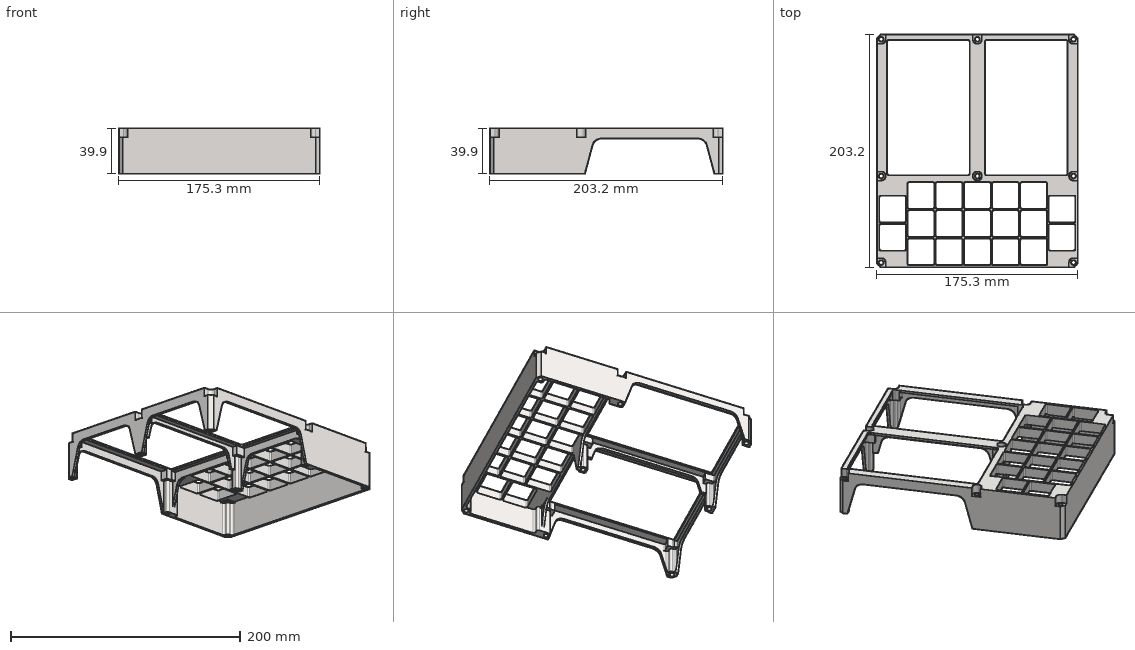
import cadquery as cq
import math

LENGTH_X = 175.26
LENGTH_Y = 203.2
HEIGHT = 39.87
CORNER_CHAMFER = 3.5

WALL = 2.3
PLATE = 2.0
GRID_DEPTH = 9.25
HALF_X = LENGTH_X / 2
HALF_Y = LENGTH_Y / 2
INNER_X = HALF_X - WALL
INNER_Y = HALF_Y - WALL
GRID_BOTTOM = HEIGHT - GRID_DEPTH

SCREW_INSET_X = 3.75
SCREW_INSET_Y = 4.25
SCREW_X = HALF_X - SCREW_INSET_X
SCREW_Y = HALF_Y - SCREW_INSET_Y
MID_SCREW_Y = -21.9
SCREW_HOLE_DIA = 4.0
COUNTERBORE_DIA = 7.9
COUNTERBORE_DEPTH = 7.9
BOSS_HALF_SIZE = 6.25
BOSS_FLARE_RADIUS = 1.0
BOSS_BOTTOM = HEIGHT - COUNTERBORE_DEPTH - WALL
POST_HALF_SIZE = 3.4
POST_CORNER_RADIUS = 2.0
POST_FLARE_RADIUS = 2.0
SIDE_POST_FRONT_Y = -31.7

KEY_SIZE = 23.1
KEY_PITCH = 24.6
KEY_RADIUS = 1.2
KEY_COLUMNS = 5
KEY_ROWS = 3
SIDE_KEY_ROWS = 2
KEY_CENTER_Y = -63.45
SIDE_KEY_CENTER_Y = -63.0
SIDE_KEY_X = (KEY_COLUMNS + 1) / 2 * KEY_PITCH

WINDOW_INNER_X = 6.75
WINDOW_OUTER_X = 78.6
WINDOW_FRONT_Y = -21.1
WINDOW_BACK_Y = 96.7
WINDOW_RADIUS = 1.5

LEG_ANGLE = 15
LEG_SLOPE = math.tan(math.radians(LEG_ANGLE))
LEG_FOOT_WIDTH = 7.4
OPENING_RADIUS = 8.0
SIDE_OPENING_FRONT_Y = -18.6
SIDE_OPENING_BACK_Y = HALF_Y - LEG_FOOT_WIDTH
BACK_OPENING_INNER_X = 3.9
BACK_OPENING_OUTER_X = HALF_X - LEG_FOOT_WIDTH
CROSS_OPENING_WIDENING = 2.1
RIB_BOTTOM = 17.5
RIB_DEPTH = 5.5
RIB_OPENING_TOP = HEIGHT - RIB_DEPTH

CROSS_WALL_FRONT_Y = KEY_CENTER_Y + (KEY_ROWS - 1) / 2 * KEY_PITCH + KEY_SIZE / 2
CROSS_WALL_BACK_Y = CROSS_WALL_FRONT_Y + WALL

SCREW_POINTS = [(x, y) for x in (-SCREW_X, SCREW_X) for y in (-SCREW_Y, MID_SCREW_Y, SCREW_Y)]
SCREW_POINTS += [(0, MID_SCREW_Y), (0, SCREW_Y)]


def box(x0, x1, y0, y1, z0, z1):
    return cq.Workplane("XY").box(x1 - x0, y1 - y0, z1 - z0, centered=False).translate((x0, y0, z0))


def envelope():
    blank = cq.Workplane("XY").rect(LENGTH_X, LENGTH_Y).extrude(HEIGHT)
    return blank.edges("|Z").chamfer(CORNER_CHAMFER)


def leg_opening(plane, start, end, near, far, top):
    """Trapezoid that narrows upwards, with rounded top corners, spanning near to far across the plane."""
    shift = top * LEG_SLOPE
    outline = [(start, 0), (end, 0), (end - shift, top), (start + shift, top)]
    prism = cq.Workplane(plane).polyline(outline).close().extrude(far - near)
    prism = prism.edges(">Z").edges("|X" if plane == "YZ" else "|Y").fillet(OPENING_RADIUS)
    return prism.translate((near, 0, 0) if plane == "YZ" else (0, far, 0))


def side_opening(near, far, top=GRID_BOTTOM):
    return leg_opening("YZ", SIDE_OPENING_FRONT_Y, SIDE_OPENING_BACK_Y, near, far, top)


def wall_openings(widening, near, far):
    """Mirrored pair of openings left and right of the center leg."""
    inner = BACK_OPENING_INNER_X - widening
    outer = BACK_OPENING_OUTER_X + widening
    right = leg_opening("XZ", inner, outer, near, far, GRID_BOTTOM)
    return right.union(right.mirror("YZ"))


def outer_walls():
    return envelope().cut(box(-INNER_X, INNER_X, -INNER_Y, INNER_Y, 0, HEIGHT))


def cross_wall():
    wall = box(-INNER_X, INNER_X, CROSS_WALL_FRONT_Y, CROSS_WALL_BACK_Y, 0, HEIGHT)
    return wall.cut(wall_openings(CROSS_OPENING_WIDENING, CROSS_WALL_FRONT_Y, CROSS_WALL_BACK_Y))


def center_rib():
    half = WALL / 2
    rib = box(-half, half, CROSS_WALL_BACK_Y, INNER_Y, RIB_BOTTOM, HEIGHT)
    return rib.cut(side_opening(-half, half, RIB_OPENING_TOP))


def top_plate():
    front = box(-HALF_X, HALF_X, -HALF_Y, CROSS_WALL_BACK_Y, GRID_BOTTOM, HEIGHT)
    rear = box(-HALF_X, HALF_X, CROSS_WALL_BACK_Y, HALF_Y, HEIGHT - PLATE, HEIGHT)
    return front.union(rear).intersect(envelope())


def flare(corner_x, corner_y, toward_x, toward_y, z0, radius):
    """Concave fillet filling the inside corner between a block and a wall."""
    x = corner_x + toward_x * radius
    y = corner_y + toward_y * radius
    filler = box(*sorted((corner_x, x)), *sorted((corner_y, y)), z0, HEIGHT)
    return filler.cut(cq.Workplane("XY", origin=(x, y, z0)).circle(radius).extrude(HEIGHT - z0))


def in_all_quadrants(quarter):
    half = quarter.union(quarter.mirror("YZ"))
    return half.union(half.mirror("XZ"))


def support(x0, x1, y0, y1, z0, corner_radius):
    """Block with rounded vertical edges, from z0 up to the top face."""
    block = box(x0, x1, y0, y1, z0, HEIGHT)
    return block.edges("|Z").fillet(corner_radius) if corner_radius else block


def corner_supports(half, z0, flare_radius, corner_radius):
    x0 = SCREW_X - half
    y0 = SCREW_Y - half
    quarter = support(x0, HALF_X, y0, HALF_Y, z0, corner_radius)
    quarter = quarter.union(flare(x0, INNER_Y, -1, -1, z0, flare_radius))
    quarter = quarter.union(flare(INNER_X, y0, -1, -1, z0, flare_radius))
    return in_all_quadrants(quarter).intersect(envelope())


def back_support(half, z0, flare_radius, corner_radius):
    block = support(-half, half, SCREW_Y - half, HALF_Y, z0, corner_radius)
    for side in (-1, 1):
        block = block.union(flare(side * half, INNER_Y, side, -1, z0, flare_radius))
    return block


def side_supports(half, front_y, z0, flare_radius, corner_radius):
    block = support(SCREW_X - half, HALF_X, front_y, MID_SCREW_Y + half, z0, corner_radius)
    block = block.union(flare(INNER_X, front_y, -1, -1, z0, flare_radius))
    return block.union(block.mirror("YZ"))


def middle_support(half, z0, corner_radius):
    return support(-half, half, MID_SCREW_Y - half, MID_SCREW_Y + half, z0, corner_radius)


def screw_supports(half, side_front_y, z0, flare_radius, corner_radius=0):
    """Blocks around all eight screws, flared into the outer walls that they touch."""
    supports = corner_supports(half, z0, flare_radius, corner_radius)
    supports = supports.union(back_support(half, z0, flare_radius, corner_radius))
    supports = supports.union(side_supports(half, side_front_y, z0, flare_radius, corner_radius))
    return supports.union(middle_support(half, z0, corner_radius))


def screw_bosses():
    """Wide blocks that carry the floors of the counterbores."""
    return screw_supports(BOSS_HALF_SIZE, MID_SCREW_Y - BOSS_HALF_SIZE, BOSS_BOTTOM, BOSS_FLARE_RADIUS)


def screw_posts():
    """Slimmer full-height posts around the screw holes."""
    return screw_supports(POST_HALF_SIZE, SIDE_POST_FRONT_Y, 0, POST_FLARE_RADIUS, POST_CORNER_RADIUS)


def window(side):
    width = WINDOW_OUTER_X - WINDOW_INNER_X
    depth = WINDOW_BACK_Y - WINDOW_FRONT_Y
    center = (side * (WINDOW_INNER_X + WINDOW_OUTER_X) / 2, (WINDOW_FRONT_Y + WINDOW_BACK_Y) / 2)
    blank = cq.Workplane("XY", origin=(*center, BOSS_BOTTOM)).rect(width, depth)
    return blank.extrude(HEIGHT - BOSS_BOTTOM).edges("|Z").fillet(WINDOW_RADIUS)


def centered_steps(count, center=0):
    return [center + (index - (count - 1) / 2) * KEY_PITCH for index in range(count)]


def key_openings():
    """Main block of keys with one shorter column on each side."""
    columns = centered_steps(KEY_COLUMNS)
    rows = centered_steps(KEY_ROWS, KEY_CENTER_Y)
    side_rows = centered_steps(SIDE_KEY_ROWS, SIDE_KEY_CENTER_Y)
    points = [(x, y) for x in columns for y in rows]
    points += [(x, y) for x in (-SIDE_KEY_X, SIDE_KEY_X) for y in side_rows]
    openings = cq.Workplane("XY", origin=(0, 0, BOSS_BOTTOM)).pushPoints(points)
    return openings.rect(KEY_SIZE, KEY_SIZE).extrude(HEIGHT - BOSS_BOTTOM).edges("|Z").fillet(KEY_RADIUS)


def screw_pocket(x, y):
    """Through hole and counterbore; the counterbore runs out through the nearest outer faces."""
    radius = COUNTERBORE_DIA / 2
    floor = HEIGHT - COUNTERBORE_DEPTH
    pocket = cq.Workplane("XY", origin=(x, y, floor)).circle(radius).extrude(COUNTERBORE_DEPTH)
    x_range = (x - radius, x + radius)
    y_range = (y - radius, y + radius)
    x_reach = sorted((x, math.copysign(HALF_X, x))) if x else x_range
    y_reach = sorted((y, math.copysign(HALF_Y, y))) if abs(y) == SCREW_Y else y_range
    if x:
        pocket = pocket.union(box(*x_reach, *y_range, floor, HEIGHT))
    if abs(y) == SCREW_Y:
        pocket = pocket.union(box(*x_range, *y_reach, floor, HEIGHT))
    hole = cq.Workplane("XY", origin=(x, y, 0)).circle(SCREW_HOLE_DIA / 2).extrude(HEIGHT)
    return pocket.union(hole)


result = outer_walls().union(cross_wall()).union(center_rib()).union(top_plate())
result = result.union(screw_bosses()).union(screw_posts())
result = result.cut(side_opening(-HALF_X, HALF_X))
result = result.cut(wall_openings(0, WINDOW_BACK_Y, HALF_Y))
for side in (-1, 1):
    result = result.cut(window(side))
result = result.cut(key_openings())
for x, y in SCREW_POINTS:
    result = result.cut(screw_pocket(x, y))